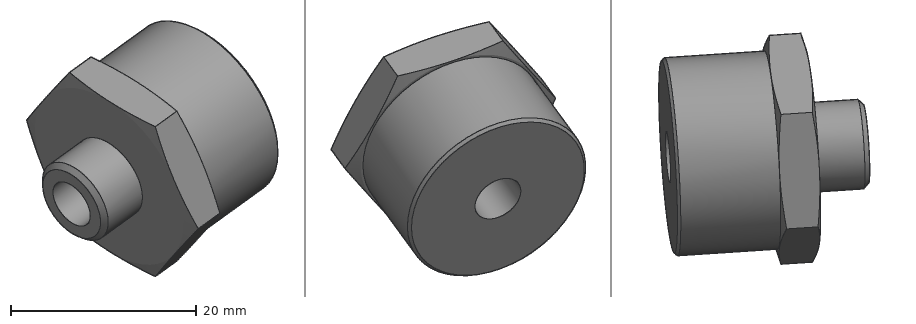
import cadquery as cq
import math

spigot_length = 6.0
hex_thickness = 4.32
body_length = 11.18

hex_across_corners = 25.4
hex_across_flats = hex_across_corners * math.cos(math.radians(30))
spigot_diameter = 9.73
body_diameter = 21.5
bore_diameter = 5.5

spigot_chamfer = 0.58
body_chamfer = 0.33
hex_chamfer_angle = 15.0

spigot_tip = -spigot_length
hex_back = hex_thickness
body_end = hex_back + body_length


def cylinder_along_y(diameter, start, end):
    """Solid cylinder on the Y axis between two stations."""
    return cq.Workplane("XZ", origin=(0, start, 0)).circle(diameter / 2).extrude(start - end)


def make_hex():
    """Hexagon with corners on X, its corners cut back by a cone on both faces."""
    prism = cq.Workplane("XZ").polygon(6, hex_across_corners).extrude(-hex_thickness)
    face_radius = hex_across_flats / 2
    corner_radius = hex_across_corners / 2
    drop = (corner_radius - face_radius) * math.tan(math.radians(hex_chamfer_angle))
    envelope = (
        cq.Workplane("XY")
        .moveTo(0, 0)
        .lineTo(face_radius, 0)
        .lineTo(corner_radius, drop)
        .lineTo(corner_radius, hex_thickness - drop)
        .lineTo(face_radius, hex_thickness)
        .lineTo(0, hex_thickness)
        .close()
        .revolve(360, (0, 0, 0), (0, 1, 0))
    )
    return prism.intersect(envelope)


spigot = cylinder_along_y(spigot_diameter, spigot_tip, 0).faces("<Y").chamfer(spigot_chamfer)
body = cylinder_along_y(body_diameter, hex_back, body_end).faces(">Y").chamfer(body_chamfer)
bore = cylinder_along_y(bore_diameter, spigot_tip, body_end)

result = make_hex().union(spigot).union(body).cut(bore)